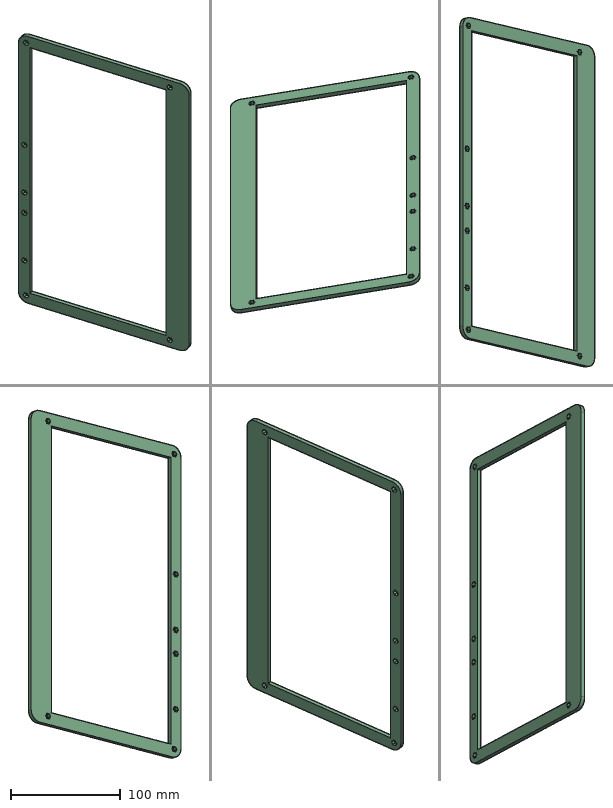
import cadquery as cq

WIDTH = 176.0
HEIGHT = 300.0
THICKNESS = 4.0
CORNER_RADIUS = 10.0

NARROW_RAIL = 12.0
WIDE_RAIL = 24.0

HOLE_SIDES = 6
HOLE_ACROSS_CORNERS = 5.45

CORNER_HOLE_INSET_X = 7.75
CORNER_HOLE_INSET_Z = 8.0
CORNER_HOLE_SPACING_X = 148.25

PAIR_SPACING = 53.5
GAP_BETWEEN_PAIRS = 23.0

LEFT = -WIDTH / 2
TOP = HEIGHT / 2


def make_plate():
    """Solid plate with rounded corners."""
    plate = cq.Workplane("XY").box(WIDTH, THICKNESS, HEIGHT)
    return plate.edges("|Y").fillet(CORNER_RADIUS)


def make_opening():
    """Sharp-cornered block that clears the window between the rails."""
    opening_width = WIDTH - NARROW_RAIL - WIDE_RAIL
    opening_height = HEIGHT - 2 * NARROW_RAIL
    centre_x = LEFT + NARROW_RAIL + opening_width / 2
    block = cq.Workplane("XY").box(opening_width, THICKNESS, opening_height)
    return block.translate((centre_x, 0, 0))


def make_holes(points):
    """Hexagonal prisms through the plate thickness at the given (x, z) points."""
    back_face = cq.Workplane("XZ", origin=(0, THICKNESS / 2, 0))
    hexagons = back_face.pushPoints(points).polygon(HOLE_SIDES, HOLE_ACROSS_CORNERS)
    return hexagons.extrude(THICKNESS)


def corner_hole_points():
    """One hole near each corner of the opening."""
    first_x = LEFT + CORNER_HOLE_INSET_X
    hole_z = TOP - CORNER_HOLE_INSET_Z
    columns = (first_x, first_x + CORNER_HOLE_SPACING_X)
    return [(x, z) for x in columns for z in (-hole_z, hole_z)]


def side_hole_points():
    """Two pairs of holes along the centreline of the -X rail."""
    rail_centre_x = LEFT + NARROW_RAIL / 2
    upper_pair_top = PAIR_SPACING / 2
    lower_pair_top = upper_pair_top - PAIR_SPACING - GAP_BETWEEN_PAIRS
    points = []
    for pair_top in (upper_pair_top, lower_pair_top):
        points.append((rail_centre_x, pair_top))
        points.append((rail_centre_x, pair_top - PAIR_SPACING))
    return points


result = (
    make_plate()
    .cut(make_opening())
    .cut(make_holes(corner_hole_points()))
    .cut(make_holes(side_hole_points()))
)